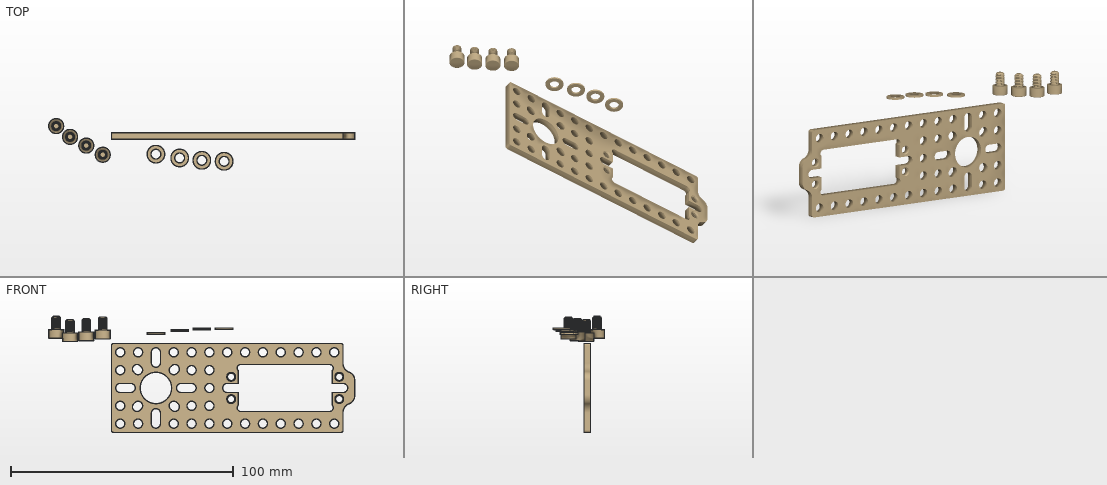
import cadquery as cq
import math

PLATE_THICK = 3.0
PITCH = 8.0
HALF_HEIGHT = 2.5 * PITCH
LEFT_END = -2.5 * PITCH
RIGHT_END = 10.5 * PITCH
CORNER_RADIUS = 1.0
HOLE_DIA = 4.0
BORE_DIA = 14.0
INNER_CIRCLE_RADIUS = PITCH * math.sqrt(2)
OUTER_CIRCLE_RADIUS = 1.5 * PITCH

NOSE_REACH = 5.25
NOSE_HALF_HEIGHT = 10.9
NOSE_ROOT_RADIUS = 4.0
NOSE_TIP_RADIUS = 4.0

WINDOW_CENTER = 7.25 * PITCH
WINDOW_LENGTH = 42.0
WINDOW_HEIGHT = 21.0
RELIEF_RADIUS = 1.6
RELIEF_OVERCUT = 0.5
NOTCH_CENTER_SPAN = 6.5 * PITCH
SERVO_HOLE_SPAN = 48.5
SERVO_HOLE_SPACING = 10.0

THREAD_DIA = 4.0
THREAD_PITCH = 0.7
THREAD_DEPTH = 0.38
GROOVE_WIDTH = 0.55
GROOVE_ROOT_WIDTH = 0.1
GROOVE_OVERRUN = 0.1
HOLE_GROOVE_LENGTH = 2.4
SHANK_GROOVE_LENGTH = 5.5
SHANK_GROOVE_START = THREAD_PITCH / 2

HEAD_DIA = 6.8
HEAD_HEIGHT = 4.0
HEAD_EDGE_RADIUS = 0.3
SHANK_LENGTH = 6.0
TIP_CHAMFER = 0.75
SCREW_TOP = 32.2
SCREW_PLACES = [
    (-44.73, 4.4, 0.0),
    (-38.5, -0.45, 1.45),
    (-31.25, -4.35, 1.05),
    (-23.85, -8.45, 0.25),
]

WASHER_OUTER_DIA = 8.0
WASHER_HOLE_DIA = 4.3
WASHER_THICK = 0.8
WASHER_PLACES = [
    (0.0, -8.2, 24.5),
    (10.65, -9.9, 25.8),
    (20.6, -10.95, 26.45),
    (30.6, -11.4, 26.6),
]


def thread_groove(surface_radius, direction, length):
    """Helical trapezoid groove rising about Z from z = 0; direction +1 cuts outward, -1 cuts inward."""
    mouth = surface_radius - direction * GROOVE_OVERRUN
    root = surface_radius + direction * THREAD_DEPTH
    profile = [
        (mouth, -GROOVE_WIDTH / 2),
        (mouth, GROOVE_WIDTH / 2),
        (root, GROOVE_ROOT_WIDTH / 2),
        (root, -GROOVE_ROOT_WIDTH / 2),
    ]
    helices = []
    for radius, height in profile:
        helix = cq.Wire.makeHelix(THREAD_PITCH, length, radius)
        helices.append(helix.translate(cq.Vector(0, 0, height)))
    faces = []
    for index, helix in enumerate(helices):
        faces.append(cq.Face.makeRuledSurface(helix, helices[index - 1]))
    for ends in ([h.startPoint() for h in helices], [h.endPoint() for h in helices]):
        faces.append(cq.Face.makeFromWires(cq.Wire.makePolygon(ends, close=True)))
    groove = cq.Solid.makeSolid(cq.Shell.makeShell(faces))
    return cq.Workplane(obj=groove)


def through_plate(sketch):
    """Extrude a profile drawn on the XZ plane symmetrically through the plate thickness."""
    return sketch.extrude(PLATE_THICK / 2, both=True)


def slot_cutter(start, end):
    """Round-ended slot between two hole centres in the XZ plane."""
    run = end[0] - start[0]
    rise = end[1] - start[1]
    middle = ((start[0] + end[0]) / 2, (start[1] + end[1]) / 2)
    length = math.hypot(run, rise) + HOLE_DIA
    angle = math.degrees(math.atan2(rise, run))
    return through_plate(cq.Workplane("XZ").center(*middle).slot2D(length, HOLE_DIA, angle))


def plate_blank():
    length = RIGHT_END - LEFT_END
    blank = through_plate(
        cq.Workplane("XZ").center((LEFT_END + RIGHT_END) / 2, 0).rect(length, 2 * HALF_HEIGHT)
    )
    return blank.edges("|Y").fillet(CORNER_RADIUS)


def plate_nose():
    """Nose whose flanks are two tangent arcs, hollow at the root and round at the tip."""
    tip = RIGHT_END + NOSE_REACH
    radius_sum = NOSE_ROOT_RADIUS + NOSE_TIP_RADIUS
    turn = math.acos(1 - NOSE_REACH / radius_sum)
    join_x = RIGHT_END + NOSE_ROOT_RADIUS * (1 - math.cos(turn))
    join_z = NOSE_HALF_HEIGHT - NOSE_ROOT_RADIUS * math.sin(turn)
    flat_z = NOSE_HALF_HEIGHT - radius_sum * math.sin(turn)
    root_mid = (
        RIGHT_END + NOSE_ROOT_RADIUS * (1 - math.cos(turn / 2)),
        NOSE_HALF_HEIGHT - NOSE_ROOT_RADIUS * math.sin(turn / 2),
    )
    tip_mid = (
        tip - NOSE_TIP_RADIUS * (1 - math.cos(turn / 2)),
        flat_z + NOSE_TIP_RADIUS * math.sin(turn / 2),
    )
    inside = RIGHT_END - CORNER_RADIUS
    return through_plate(
        cq.Workplane("XZ")
        .moveTo(inside, NOSE_HALF_HEIGHT)
        .lineTo(RIGHT_END, NOSE_HALF_HEIGHT)
        .threePointArc(root_mid, (join_x, join_z))
        .threePointArc(tip_mid, (tip, flat_z))
        .lineTo(tip, -flat_z)
        .threePointArc((tip_mid[0], -tip_mid[1]), (join_x, -join_z))
        .threePointArc((root_mid[0], -root_mid[1]), (RIGHT_END, -NOSE_HALF_HEIGHT))
        .lineTo(inside, -NOSE_HALF_HEIGHT)
        .close()
    )


def grid_holes():
    centers = [(3 * PITCH, 0)]
    for side in (1, -1):
        centers += [(col * PITCH, side * 2 * PITCH) for col in range(-2, 11) if col != 0]
        centers += [(col * PITCH, side * PITCH) for col in (-2, 2, 3)]
    return through_plate(cq.Workplane("XZ").pushPoints(centers).circle(HOLE_DIA / 2))


def bore_and_slots():
    cutter = through_plate(cq.Workplane("XZ").circle(BORE_DIA / 2))
    diagonal_end = OUTER_CIRCLE_RADIUS / math.sqrt(2)
    for side in (1, -1):
        near = side * INNER_CIRCLE_RADIUS
        far = side * 2 * PITCH
        cutter = cutter.union(slot_cutter((near, 0), (far, 0)))
        cutter = cutter.union(slot_cutter((0, near), (0, far)))
        for other in (1, -1):
            start = (side * PITCH, other * PITCH)
            end = (side * diagonal_end, other * diagonal_end)
            cutter = cutter.union(slot_cutter(start, end))
    return cutter


def servo_window():
    relief_x = WINDOW_LENGTH / 2 + RELIEF_OVERCUT - RELIEF_RADIUS
    relief_z = WINDOW_HEIGHT / 2 - RELIEF_RADIUS
    frame = cq.Workplane("XZ").center(WINDOW_CENTER, 0)
    window = through_plate(frame.rect(WINDOW_LENGTH, WINDOW_HEIGHT)).edges("|Y").fillet(RELIEF_RADIUS)
    reliefs = through_plate(
        frame.rect(2 * relief_x, 2 * relief_z, forConstruction=True).vertices().circle(RELIEF_RADIUS)
    )
    notch_end = NOTCH_CENTER_SPAN / 2
    notches = slot_cutter((WINDOW_CENTER - notch_end, 0), (WINDOW_CENTER + notch_end, 0))
    return window.union(reliefs).union(notches)


def tapped_hole_drill():
    """Tapping drill along Y with a small countersink at each face of the plate."""
    minor_radius = THREAD_DIA / 2 - THREAD_DEPTH
    half_thick = PLATE_THICK / 2
    return (
        cq.Workplane("XY")
        .polyline([
            (0, -half_thick),
            (THREAD_DIA / 2, -half_thick),
            (minor_radius, THREAD_DEPTH - half_thick),
            (minor_radius, half_thick - THREAD_DEPTH),
            (THREAD_DIA / 2, half_thick),
            (0, half_thick),
        ])
        .close()
        .revolve(360, (0, 0, 0), (0, 1, 0))
    )


def tapped_hole_groove():
    """Thread groove along Y that runs out in both countersinks."""
    minor_radius = THREAD_DIA / 2 - THREAD_DEPTH
    groove = thread_groove(minor_radius, 1, HOLE_GROOVE_LENGTH)
    return groove.translate((0, 0, -HOLE_GROOVE_LENGTH / 2)).rotate((0, 0, 0), (1, 0, 0), 90)


def make_plate():
    plate = plate_blank().union(plate_nose())
    plate = plate.cut(grid_holes()).cut(bore_and_slots()).cut(servo_window())
    drill = tapped_hole_drill()
    groove = tapped_hole_groove()
    for x_side in (1, -1):
        for z_side in (1, -1):
            x = WINDOW_CENTER + x_side * SERVO_HOLE_SPAN / 2
            z = z_side * SERVO_HOLE_SPACING / 2
            plate = plate.cut(drill.translate((x, 0, z)))
            plate = plate.cut(groove.translate((x, 0, z)))
    return plate


def make_screw():
    """Cap screw with the seat of its head at z = 0 and the threaded shank pointing up."""
    head = (
        cq.Workplane("XY")
        .circle(HEAD_DIA / 2)
        .extrude(-HEAD_HEIGHT)
        .faces("<Z")
        .edges()
        .fillet(HEAD_EDGE_RADIUS)
    )
    shank = (
        cq.Workplane("XY")
        .circle(THREAD_DIA / 2)
        .extrude(SHANK_LENGTH)
        .faces(">Z")
        .chamfer(TIP_CHAMFER)
    )
    groove = thread_groove(THREAD_DIA / 2, -1, SHANK_GROOVE_LENGTH)
    return head.union(shank.cut(groove.translate((0, 0, SHANK_GROOVE_START))))


def make_washer():
    return (
        cq.Workplane("XY")
        .circle(WASHER_OUTER_DIA / 2)
        .circle(WASHER_HOLE_DIA / 2)
        .extrude(WASHER_THICK / 2, both=True)
    )


plate = make_plate()

screw = make_screw()
screws = []
for x, y, drop in SCREW_PLACES:
    screws.append(screw.translate((x, y, SCREW_TOP - SHANK_LENGTH - drop)))

washer = make_washer()
washers = []
for place in WASHER_PLACES:
    washers.append(washer.translate(place))

result = cq.Compound.makeCompound([
    plate.solids().val(),
    *[body.solids().val() for body in screws],
    *[body.solids().val() for body in washers],
])